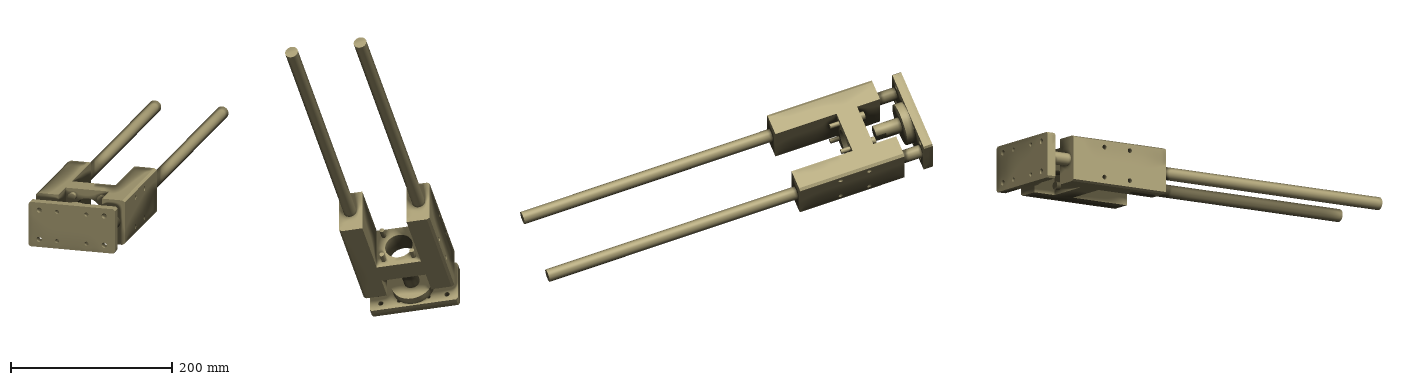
import cadquery as cq
import math


height = 58.0
total_length = 507
rod_diameter = 16.0
rod_spacing = 87.0
bolt_spacing = 38.0

housing_width = 115.0
housing_start = 38.0
housing_length = 139.0
leg_gap = 56.5
bridge_start = 68.5
bridge_length = 27.5
housing_chamfer_x = 3.5
housing_chamfer_z = 2.0
bridge_bore_diameter = 35.0
side_hole_diameter = 6.0
side_hole_depth = 10
drill_point_angle = 118
first_side_hole_y = 84.5

bolt_head_diameter = 10
bolt_head_height = 6.0
bolt_shank_diameter = 6.0
bolt_shank_length = 12.0

plate_width = 112.0
plate_thickness = 11.5
plate_chamfer_x = 2.0
plate_chamfer_z = 2.5
plate_outer_hole_spacing = 84.0
plate_outer_hole_diameter = 6.5
plate_inner_hole_diameter = 5
flange_diameter = 53.0
flange_end = 22.5
boss_diameter = 20.0
boss_end = 43.5
tongue_thickness = 15
tongue_end = 56.5


def cylinder_along_y(diameter, start, end, x=0, z=0):
    """Solid cylinder parallel to Y between two Y positions."""
    axis_start = cq.Vector(x, start, z)
    solid = cq.Solid.makeCylinder(diameter / 2, end - start, axis_start, cq.Vector(0, 1, 0))
    return cq.Workplane(obj=solid)


def block(width, start, length):
    """Full-height block centred on X and Z that starts at a given Y."""
    return cq.Workplane().box(width, length, height).translate((0, start + length / 2, 0))


def grid(x_spacing):
    """Four (x, z) places: two columns and the two rows of the bolt pattern."""
    return [(x, z) for x in (-x_spacing / 2, x_spacing / 2) for z in (-bolt_spacing / 2, bolt_spacing / 2)]


def chamfered_bar(width, start, length, chamfer_x, chamfer_z):
    """Bar along Y whose four long edges are chamfered."""
    half_width = width / 2
    half_height = height / 2
    outline = [
        (half_width - chamfer_x, -half_height),
        (half_width, -half_height + chamfer_z),
        (half_width, half_height - chamfer_z),
        (half_width - chamfer_x, half_height),
        (-half_width + chamfer_x, half_height),
        (-half_width, half_height - chamfer_z),
        (-half_width, -half_height + chamfer_z),
        (-half_width + chamfer_x, -half_height),
    ]
    return cq.Workplane("XZ", origin=(0, start, 0)).polyline(outline).close().extrude(-length)


def drilled_hole(mouth, inward):
    """Cutter for a blind side hole with a conical drill point."""
    radius = side_hole_diameter / 2
    point_depth = radius / math.tan(math.radians(drill_point_angle / 2))
    point_base = mouth + inward * side_hole_depth
    shaft = cq.Solid.makeCylinder(radius, side_hole_depth, mouth, inward)
    point = cq.Solid.makeCone(radius, 0, point_depth, point_base, inward)
    return cq.Workplane(obj=shaft).union(cq.Workplane(obj=point))


def make_housing():
    housing_end = housing_start + housing_length
    bridge_end = bridge_start + bridge_length
    body = chamfered_bar(housing_width, housing_start, housing_length, housing_chamfer_x, housing_chamfer_z)

    body = body.cut(block(leg_gap, housing_start, bridge_start - housing_start))
    body = body.cut(block(leg_gap, bridge_end, housing_end - bridge_end))

    body = body.cut(cylinder_along_y(bridge_bore_diameter, bridge_start, bridge_end))

    for x in (-rod_spacing / 2, rod_spacing / 2):
        body = body.cut(cylinder_along_y(rod_diameter, housing_start, housing_end, x))

    for side in (-1, 1):
        for y in (first_side_hole_y, first_side_hole_y + bolt_spacing):
            for z in (-bolt_spacing / 2, bolt_spacing / 2):
                mouth = cq.Vector(side * housing_width / 2, y, z)
                inward = cq.Vector(-side, 0, 0)
                body = body.cut(drilled_hole(mouth, inward))

    head_start = bridge_start - bolt_head_height
    shank_end = bridge_end + bolt_shank_length
    for x, z in grid(bolt_spacing):
        body = body.union(cylinder_along_y(bolt_head_diameter, head_start, bridge_start, x, z))
        body = body.union(cylinder_along_y(bolt_shank_diameter, bridge_end, shank_end, x, z))
    return body


def make_slide():
    body = chamfered_bar(plate_width, 0, plate_thickness, plate_chamfer_x, plate_chamfer_z)

    for x, z in grid(plate_outer_hole_spacing):
        body = body.cut(cylinder_along_y(plate_outer_hole_diameter, 0, plate_thickness, x, z))
    for x, z in grid(bolt_spacing):
        body = body.cut(cylinder_along_y(plate_inner_hole_diameter, 0, plate_thickness, x, z))

    for x in (-rod_spacing / 2, rod_spacing / 2):
        body = body.union(cylinder_along_y(rod_diameter, plate_thickness, total_length, x))

    body = body.union(cylinder_along_y(flange_diameter, plate_thickness, flange_end))
    body = body.union(cylinder_along_y(boss_diameter, flange_end, boss_end))

    tongue = cylinder_along_y(boss_diameter, boss_end, tongue_end)
    body = body.union(tongue.intersect(block(tongue_thickness, boss_end, tongue_end - boss_end)))
    return body


housing = make_housing()
slide = make_slide()

result = cq.Compound.makeCompound([housing.val(), slide.val()])